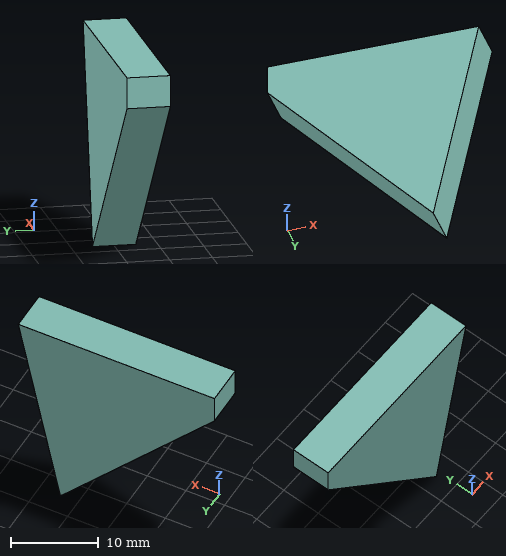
import cadquery as cq

width = 25.4
height = 25.4
thickness = 5.08
left_edge_height = 3.65
tip_x = 19.95

outline = [
    (0, height),
    (width, height),
    (tip_x, 0),
    (0, height - left_edge_height),
]

result = cq.Workplane("XZ").polyline(outline).close().extrude(-thickness)